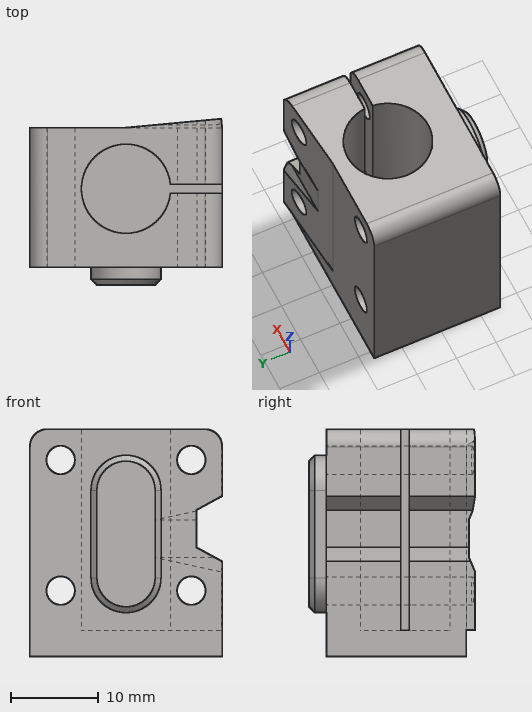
import cadquery as cq

width = 22.0
depth = 16.0
height = 26.0
corner_radius = 2.0
floor_thickness = 3.02

jaw_rise = 1.01
jaw_tip_inset = 0.1

bore_diameter = 10.2
bore_centre_y = 9.0
slit_width = 1.0

notch_depth = 2.95
notch_mouth = 7.45
notch_root = 4.26
notch_centre_z = 14.6

recess_floor_y = 16.3
recess_mouth = 7.6
recess_root = 4.32
recess_centre_z = 13.5

hole_diameter = 3.22
hole_pitch = 14.92
hole_centre_z = 15.0

key_width = 8.0
key_length = 18.0
key_height = 2.0
key_chamfer = 0.68
key_centre_z = 14.01

half_width = width / 2
jaw_back = depth + jaw_rise
clamp_height = height - floor_thickness


def front_plane(centre_z):
    """XZ sketch plane on the front face; its normal points toward -Y."""
    return cq.Workplane("XZ", origin=(0, 0, centre_z))


def make_block():
    block = cq.Workplane("XY").box(width, depth, height, centered=(True, False, False))
    flare = (
        cq.Workplane("XY", origin=(0, 0, floor_thickness))
        .polyline([
            (0, bore_centre_y),
            (half_width, bore_centre_y),
            (half_width, depth),
            (half_width - jaw_tip_inset, jaw_back),
            (0, depth),
        ])
        .close()
        .extrude(clamp_height)
    )
    outline = (
        cq.Workplane("XY")
        .box(width, jaw_back, height, centered=(True, False, False))
        .edges("|Y and >Z")
        .fillet(corner_radius)
    )
    return block.union(flare).intersect(outline)


def make_clamp_cut():
    """Bore and slit, both ending on the solid floor."""
    bore = (
        cq.Workplane("XY", origin=(0, bore_centre_y, floor_thickness))
        .circle(bore_diameter / 2)
        .extrude(clamp_height)
    )
    slit = (
        cq.Workplane("XY", origin=(0, bore_centre_y, floor_thickness))
        .box(half_width, slit_width, clamp_height, centered=(False, True, False))
    )
    return bore.union(slit)


def make_notch():
    return (
        front_plane(notch_centre_z)
        .polyline([
            (half_width, notch_mouth / 2),
            (half_width - notch_depth, notch_root / 2),
            (half_width - notch_depth, -notch_root / 2),
            (half_width, -notch_mouth / 2),
        ])
        .close()
        .extrude(-jaw_back)
    )


def make_jaw_recess():
    """Trapezoidal channel along X, open toward +Y."""
    return (
        cq.Workplane("YZ", origin=(0, 0, recess_centre_z))
        .polyline([
            (jaw_back, recess_mouth / 2),
            (recess_floor_y, recess_root / 2),
            (recess_floor_y, -recess_root / 2),
            (jaw_back, -recess_mouth / 2),
        ])
        .close()
        .extrude(half_width)
    )


def make_holes():
    return (
        front_plane(hole_centre_z)
        .rect(hole_pitch, hole_pitch, forConstruction=True)
        .vertices()
        .circle(hole_diameter / 2)
        .extrude(-jaw_back)
    )


def make_key():
    return (
        front_plane(key_centre_z)
        .slot2D(key_length, key_width, 90)
        .extrude(key_height)
        .faces("<Y")
        .chamfer(key_chamfer)
    )


result = (
    make_block()
    .cut(make_clamp_cut())
    .cut(make_notch())
    .cut(make_jaw_recess())
    .cut(make_holes())
    .union(make_key())
)